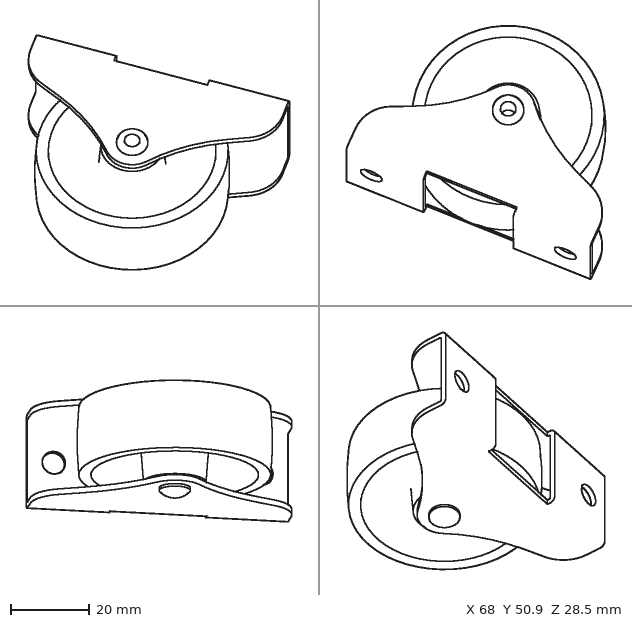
import cadquery as cq
import math


bracket_length = 68.0
bracket_height = 25.0
sheet = 1.5
bend_radius = 1.5
inner_bend_radius = 0.3
back_y = 25.9
corner_radius = 10.0
corner_y = 20.05
flare_angle = math.radians(25)
flare_end = (22.5, 8.4)
tip_radius = 7.0
tip_angle = math.radians(49)
notch_width = 25.15
notch_depth = 2.3
mount_hole_diameter = 6.0
mount_hole_spacing = 54.1

wheel_radius = 25.0
wheel_edge_radius = 24.6
wheel_width = 18.0
rim_inner_radius = 21.5
rim_fillet = 1.9
web_thickness = 2.0
hub_length = bracket_height - 2 * sheet
hub_end_radius = 8.0
hub_base_radius = 8.8
hub_fillet = 2.05

axle_radius = 3.0
head_radius = 4.0
top_head_height = 1.0
top_head_fillet = 0.6
dome_rim_height = 0.7
dome_head_height = 2.45
rivet_bore_radius = 2.0
rivet_bore_depth = 6.0


def ear_outline():
    """Outline of an ear: rounded corners, flared sides and a round tip."""
    half_length = bracket_length / 2
    corner_x = half_length - corner_radius
    corner_middle_angle = (math.pi / 2 - flare_angle) / 2
    corner_middle = (
        corner_x + corner_radius * math.cos(corner_middle_angle),
        corner_y - corner_radius * math.sin(corner_middle_angle),
    )
    corner_end = (
        corner_x + corner_radius * math.sin(flare_angle),
        corner_y - corner_radius * math.cos(flare_angle),
    )
    tip_start = (tip_radius * math.sin(tip_angle), -tip_radius * math.cos(tip_angle))
    tip_middle = (tip_radius * math.sin(tip_angle / 2), -tip_radius * math.cos(tip_angle / 2))
    return (
        cq.Workplane("XY", origin=(0, 0, -bracket_height / 2))
        .moveTo(0, back_y)
        .lineTo(half_length, back_y)
        .lineTo(half_length, corner_y)
        .threePointArc(corner_middle, corner_end)
        .lineTo(*flare_end)
        .tangentArcPoint(tip_start, relative=False)
        .threePointArc(tip_middle, (0, -tip_radius))
        .mirrorY()
    )


def make_bracket():
    ear_block = ear_outline().extrude(bracket_height)

    slab_depth = back_y + tip_radius
    slab_center_y = (back_y - tip_radius) / 2
    bent_outside = (
        cq.Workplane("XY")
        .box(bracket_length, slab_depth, bracket_height)
        .edges("|X and >Y")
        .fillet(bend_radius)
        .translate((0, slab_center_y, 0))
    )
    bent_inside = (
        cq.Workplane("XY")
        .box(bracket_length, slab_depth, hub_length)
        .edges("|X and >Y")
        .fillet(inner_bend_radius)
        .translate((0, slab_center_y - sheet, 0))
    )
    notch = cq.Workplane("XY").box(notch_width, 2 * notch_depth, bracket_height).translate((0, back_y, 0))
    mount_holes = (
        cq.Workplane("XZ", origin=(0, back_y, 0))
        .pushPoints([(-mount_hole_spacing / 2, 0), (mount_hole_spacing / 2, 0)])
        .circle(mount_hole_diameter / 2)
        .extrude(sheet)
    )
    axle_hole = cq.Workplane("XY").circle(axle_radius).extrude(bracket_height / 2, both=True)
    bracket = ear_block.intersect(bent_outside).cut(bent_inside)
    return bracket.cut(notch).cut(mount_holes).cut(axle_hole)


def wheel_recess():
    """Ring-shaped recess above the web, between the rim and the tapered hub."""
    web_top = web_thickness / 2
    hub_end = hub_length / 2
    recess = (
        cq.Workplane("XZ")
        .moveTo(hub_base_radius, web_top)
        .lineTo(rim_inner_radius, web_top)
        .lineTo(rim_inner_radius, hub_end)
        .lineTo(hub_end_radius, hub_end)
        .close()
        .revolve(360, (0, 0, 0), (0, 1, 0))
    )
    floor_edges = recess.faces("<Z").edges()
    hub_edge = floor_edges.edges(cq.selectors.RadiusNthSelector(0))
    recess = hub_edge.fillet(hub_fillet)
    rim_edge = recess.faces("<Z").edges(cq.selectors.RadiusNthSelector(-1))
    return rim_edge.fillet(rim_fillet)


def make_wheel():
    half_width = wheel_width / 2
    tread = (
        cq.Workplane("XZ")
        .moveTo(0, -half_width)
        .lineTo(wheel_edge_radius, -half_width)
        .threePointArc((wheel_radius, 0), (wheel_edge_radius, half_width))
        .lineTo(0, half_width)
        .close()
        .revolve(360, (0, 0, 0), (0, 1, 0))
    )
    hub = cq.Workplane("XY").circle(hub_base_radius).extrude(hub_length / 2, both=True)
    recess = wheel_recess()
    axle_hole = cq.Workplane("XY").circle(axle_radius).extrude(hub_length / 2, both=True)
    return tread.union(hub).cut(recess).cut(recess.mirror("XY")).cut(axle_hole)


def make_axle():
    top = bracket_height / 2
    bottom = -top
    shaft = cq.Workplane("XY").circle(axle_radius).extrude(top, both=True)
    top_head = (
        cq.Workplane("XY", origin=(0, 0, top))
        .circle(head_radius)
        .extrude(top_head_height)
        .faces(">Z")
        .edges()
        .fillet(top_head_fillet)
    )
    cap_height = dome_head_height - dome_rim_height
    cap_sphere_radius = (head_radius**2 + cap_height**2) / (2 * cap_height)
    dome_bottom = bottom - dome_head_height
    dome_sphere = cq.Workplane("XY", origin=(0, 0, dome_bottom + cap_sphere_radius)).sphere(cap_sphere_radius)
    dome_head = (
        cq.Workplane("XY", origin=(0, 0, dome_bottom))
        .circle(head_radius)
        .extrude(dome_head_height)
        .intersect(dome_sphere)
    )
    bore = (
        cq.Workplane("XY", origin=(0, 0, top + top_head_height))
        .circle(rivet_bore_radius)
        .extrude(-rivet_bore_depth)
    )
    return shaft.union(top_head).union(dome_head).cut(bore)


bracket = make_bracket()
wheel = make_wheel()
axle = make_axle()

result = cq.Compound.makeCompound([bracket.val(), wheel.val(), axle.val()])